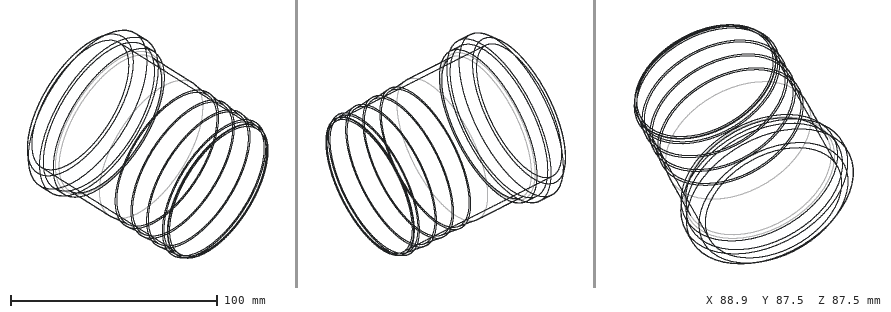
import cadquery as cq
import math

length = 88.9
bore_radius = 71.42 / 2

flange_radius = 87.48 / 2
flange_end = 12.0
flange_chamfer = 4.7

collar_radius = 81.94 / 2
collar_end = 18.4
neck_fillet = 1.27

shank_radius = 76.2 / 2
barb_count = 4
barb_pitch = 10.16
barb_depth = 1.22

tip_length = 2.54
rim_length = 0.4

root_radius = shank_radius - barb_depth
barbs_end = length - tip_length
barbs_start = barbs_end - barb_count * barb_pitch


def barb_points():
    """Each barb tapers inward toward +X, then steps back out to the shank radius."""
    points = []
    for index in range(barb_count):
        barb_end = barbs_start + (index + 1) * barb_pitch
        points.append((barb_end, root_radius))
        points.append((barb_end, shank_radius))
    return points


def make_fitting():
    """Revolve the half section, given as (axial position, radius) points."""
    head = [
        (0, bore_radius),
        (0, flange_radius - flange_chamfer),
        (flange_chamfer, flange_radius),
        (flange_end, flange_radius),
        (flange_end, collar_radius),
        (collar_end, collar_radius),
        (collar_end, shank_radius + neck_fillet),
    ]
    neck_end = (collar_end + neck_fillet, shank_radius)
    neck_middle = (
        collar_end + neck_fillet * (1 - math.sqrt(0.5)),
        shank_radius + neck_fillet * (1 - math.sqrt(0.5)),
    )
    tip = [
        (length - rim_length, root_radius),
        (length, root_radius),
        (length, bore_radius),
    ]
    section = (
        cq.Workplane("XY")
        .polyline(head)
        .threePointArc(neck_middle, neck_end)
        .lineTo(barbs_start, shank_radius)
        .polyline(barb_points() + tip, includeCurrent=True)
        .close()
    )
    return section.revolve(360, (0, 0, 0), (1, 0, 0))


result = make_fitting()